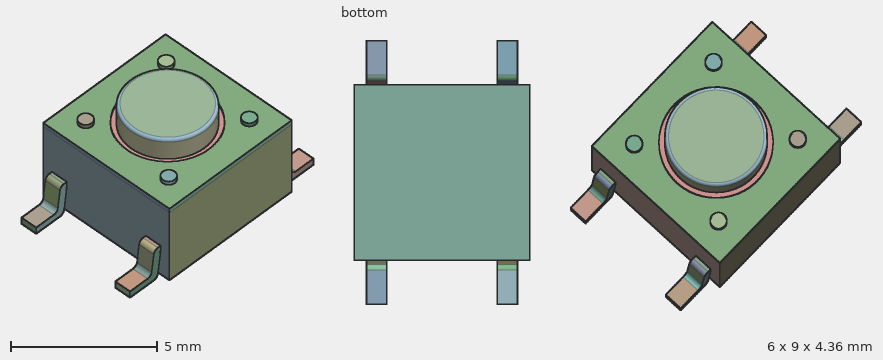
import cadquery as cq
import math

body_side = 6.0
base_height = 3.26
cover_thickness = 0.17
body_top = base_height + cover_thickness

plunger_diameter = 3.5
plunger_top = 4.3
plunger_edge_radius = 0.12
recess_diameter = 3.9
recess_depth = 0.07

rivet_diameter = 0.57
rivet_height = 0.16
rivet_pitch = 3.95

lead_width = 0.7
lead_thickness = 0.3
leg_thickness = 0.345
lead_pitch = 4.46
lead_span = 9.0
lead_bottom = -0.06
lead_top = 1.37
lead_shoulder_reach = 0.31
lead_bend_radius = 0.2
leg_lean = math.radians(7.5)
lead_embed = 0.2


def make_housing():
    base = cq.Workplane("XY").box(body_side, body_side, base_height, centered=(True, True, False))
    cover = (
        cq.Workplane("XY")
        .workplane(offset=base_height)
        .box(body_side, body_side, cover_thickness, centered=(True, True, False))
    )
    recess = (
        cq.Workplane("XY")
        .workplane(offset=body_top - recess_depth)
        .circle(recess_diameter / 2)
        .extrude(recess_depth)
    )
    return base.union(cover, clean=False).cut(recess, clean=False)


def make_plunger():
    return (
        cq.Workplane("XY")
        .workplane(offset=base_height)
        .circle(plunger_diameter / 2)
        .extrude(plunger_top - base_height)
        .faces(">Z")
        .edges()
        .fillet(plunger_edge_radius)
    )


def make_rivets():
    return (
        cq.Workplane("XY")
        .workplane(offset=body_top)
        .rect(rivet_pitch, rivet_pitch, forConstruction=True)
        .vertices()
        .circle(rivet_diameter / 2)
        .extrude(rivet_height)
    )


def make_lead():
    """One lead on the +Y wall, centred on X = 0."""
    wall = body_side / 2
    tip = lead_span / 2
    lean_slope = math.tan(leg_lean)
    foot_top = lead_bottom + lead_thickness
    shoulder_bottom = lead_top - lead_thickness

    def outer_y(z):
        return wall + lead_shoulder_reach + (lead_top - z) * lean_slope

    def inner_y(z):
        return outer_y(z) - leg_thickness

    shoulder = (outer_y(lead_top), lead_top)
    instep = (outer_y(foot_top), foot_top)
    heel = (inner_y(lead_bottom), lead_bottom)
    armpit = (inner_y(shoulder_bottom), shoulder_bottom)
    outline = [
        (wall - lead_embed, lead_top),
        shoulder,
        instep,
        (tip, foot_top),
        (tip, lead_bottom),
        heel,
        armpit,
        (wall - lead_embed, shoulder_bottom),
    ]
    lead = cq.Workplane("YZ").polyline(outline).close().extrude(lead_width / 2, both=True)
    for y, z in (shoulder, instep, heel):
        bend_edge = cq.selectors.NearestToPointSelector((0, y, z))
        lead = lead.edges("|X").edges(bend_edge).fillet(lead_bend_radius)
    return lead


result = make_housing()
result = result.union(make_plunger(), clean=False)
result = result.union(make_rivets(), clean=False)
for wall_angle in (0, 180):
    wall_lead = make_lead().rotate((0, 0, 0), (0, 0, 1), wall_angle)
    for lead_x in (-lead_pitch / 2, lead_pitch / 2):
        result = result.union(wall_lead.translate((lead_x, 0, 0)), clean=False)